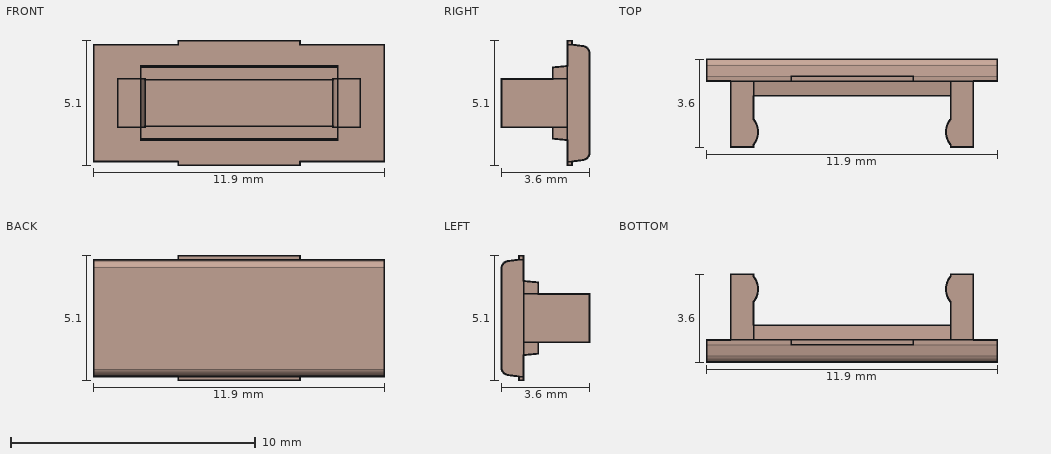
import cadquery as cq

plate_length = 11.9
plate_height = 4.8
plate_thickness = 0.9
straight_edge = 0.19
draft_depth = 0.64
draft_drop = 0.06
back_drop = 0.31
round_bulge_depth = 0.81
round_bulge_drop = 0.14

tab_length = 5.0
overall_height = 5.1

arm_span = 9.95
arm_thickness = 0.94
arm_reach = 2.7
arm_height = 1.99
bump_height = 0.19
bump_half_width = 0.52
bump_center_to_tip = 0.62

rib_length = arm_span - 2 * arm_thickness
rib_reach = 0.61
rib_gap = 1.89
rib_base_span = 3.05
rib_tip_span = 2.93


def make_plate():
    """Plate with long edges that are square, then drafted, then rounded to the back."""
    half = plate_height / 2
    profile = (
        cq.Workplane("YZ")
        .moveTo(0, 0)
        .lineTo(0, half)
        .lineTo(straight_edge, half)
        .lineTo(draft_depth, half - draft_drop)
        .threePointArc(
            (round_bulge_depth, half - round_bulge_drop),
            (plate_thickness, half - back_drop),
        )
        .lineTo(plate_thickness, 0)
        .close()
    )
    upper_half = profile.extrude(plate_length / 2, both=True)
    return upper_half.union(upper_half.mirror("XY"))


def make_tabs():
    """One bar through the plate that stands out as a tab on both long edges."""
    return cq.Workplane("XY").box(
        tab_length, straight_edge, overall_height, centered=(True, False, True)
    )


def make_left_arm():
    """Arm with a rounded snap bump on its inner side."""
    outer_x = -arm_span / 2
    inner_x = outer_x + arm_thickness
    bump_y = bump_center_to_tip - arm_reach
    return (
        cq.Workplane("XY")
        .moveTo(outer_x, 0)
        .lineTo(inner_x, 0)
        .lineTo(inner_x, bump_y + bump_half_width)
        .threePointArc((inner_x + bump_height, bump_y), (inner_x, bump_y - bump_half_width))
        .lineTo(inner_x, -arm_reach)
        .lineTo(outer_x, -arm_reach)
        .close()
        .extrude(arm_height / 2, both=True)
    )


def make_upper_rib():
    """Rib with a straight inner side and a drafted outer side."""
    return (
        cq.Workplane("YZ")
        .polyline([
            (0, rib_gap / 2),
            (0, rib_base_span / 2),
            (-rib_reach, rib_tip_span / 2),
            (-rib_reach, rib_gap / 2),
        ])
        .close()
        .extrude(rib_length / 2, both=True)
    )


left_arm = make_left_arm()
upper_rib = make_upper_rib()

result = make_plate().union(make_tabs())
result = result.union(left_arm).union(left_arm.mirror("YZ"))
result = result.union(upper_rib).union(upper_rib.mirror("XY"))